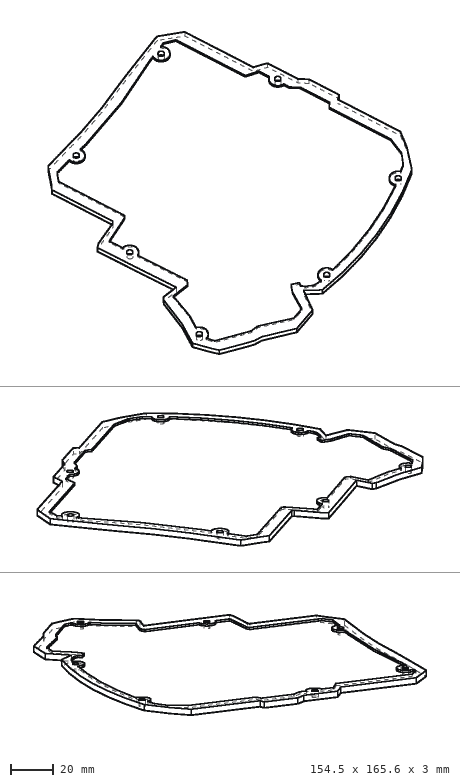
import cadquery as cq

WIDTH = 154.54
LENGTH = 165.6
THICKNESS = 3.0
POCKET_DEPTH = 1.0

HOLE_DIAMETER = 3.0
PAD_DIAMETER = 8.5

LEFT = -WIDTH / 2
RIGHT = WIDTH / 2
BACK = LENGTH / 2
FRONT = -LENGTH / 2

LEFT_BACK_Y = 74.3
SHOULDER_Y = 80.1
LEFT_FRONT_Y = -41.4

BACK_RIM = 6.4
FRONT_RIM = 6.0
RIGHT_RIM = 4.7
POCKET_LEFT_BACK_Y = LEFT_BACK_Y - BACK_RIM
POCKET_SHOULDER_Y = SHOULDER_Y - BACK_RIM
POCKET_BACK_Y = BACK - BACK_RIM
POCKET_LEFT_FRONT_Y = LEFT_FRONT_Y + FRONT_RIM

POCKET_RIGHT = RIGHT - RIGHT_RIM
POCKET_LEFT_MIDDLE = -68.9

SCREW_POSITIONS = [
    (-69.8, 57.0),
    (-15.0, 74.8),
    (66.4, 55.7),
    (70.9, -12.5),
    (40.5, -76.3),
    (-14.8, -52.8),
    (-68.9, -17.4),
]

PLATE_BACK = [
    (LEFT, 64.8),
    (-67.9, LEFT_BACK_Y),
    (-28.7, LEFT_BACK_Y),
    (-24.5, SHOULDER_Y),
    (-7.0, SHOULDER_Y),
    (-2.6, BACK),
    (14.7, BACK),
    (15.8, SHOULDER_Y),
    (51.5, SHOULDER_Y),
    (59.6, 73.6),
    (68.9, 63.8),
]
PLATE_RIGHT_MIDDLE = (RIGHT, 10.6)
PLATE_RIGHT_END = (74.3, -21.4)

PLATE_THUMB = [
    (67.1, -26.6),
    (RIGHT, -34.2),
    (RIGHT, -47.8),
    (66.2, -61.3),
    (64.7, -65.1),
    (62.5, -68.2),
    (54.0, -79.3),
    (50.2, -80.5),
    (41.0, FRONT),
    (30.1, -75.6),
    (15.0, -68.4),
    (13.7, -66.9),
    (15.5, -58.5),
]

PLATE_FRONT = [
    (-6.7, -58.8),
    (-29.2, -59.0),
    (-30.2, -56.5),
    (-31.4, -42.4),
    (-32.1, LEFT_FRONT_Y),
    (-66.8, LEFT_FRONT_Y),
    (-68.9, -38.6),
]

PLATE_LEFT = [
    (-76.4, -30.3),
    (-75.9, -21.4),
    (-75.4, -12.0),
    (-74.9, -4.4),
    (-74.9, 13.8),
    (-75.4, 21.4),
    (-76.0, 30.8),
    (-76.4, 39.0),
    (-76.7, 46.6),
    (LEFT, 62.5),
]

POCKET_BACK = [
    (-72.5, 63.1),
    (-68.6, POCKET_LEFT_BACK_Y),
    (-29.0, POCKET_LEFT_BACK_Y),
    (-25.1, POCKET_SHOULDER_Y),
    (-7.6, POCKET_SHOULDER_Y),
    (-3.3, POCKET_BACK_Y),
    (13.5, POCKET_BACK_Y),
    (15.0, POCKET_SHOULDER_Y),
    (50.2, POCKET_SHOULDER_Y),
    (59.3, 69.4),
    (63.8, 64.0),
    (65.1, 59.6),
    (67.8, 51.3),
]
POCKET_RIGHT_MIDDLE = (72.7, 11.7)
POCKET_RIGHT_END = (70.1, -19.4)
POCKET_THUMB = [
    (69.2, -21.4),
    (66.3, -24.1),
    (64.5, -24.9),
    (62.6, -23.8),
    (60.1, -26.9),
    (63.4, -30.5),
    (POCKET_RIGHT, -36.4),
    (POCKET_RIGHT, -43.3),
    (61.0, -56.9),
    (60.1, -61.0),
    (49.0, -75.7),
    (44.9, -76.6),
    (37.0, -73.8),
    (30.5, -69.5),
    (17.3, -63.8),
    (19.2, -54.3),
    (17.6, -52.0),
]
POCKET_FRONT = [
    (-26.7, -52.5),
    (-28.5, -36.7),
    (-29.3, POCKET_LEFT_FRONT_Y),
    (-66.9, POCKET_LEFT_FRONT_Y),
]
POCKET_LEFT = [
    (-70.7, -31.1),
    (-70.1, -21.7),
    (POCKET_LEFT_MIDDLE, -8.8),
    (POCKET_LEFT_MIDDLE, 21.7),
    (-71.9, 49.9),
]


def outline(base_z, back, right_middle, right_end, rest):
    """Closed outline: straight runs everywhere except the bowed right side."""
    sketch = cq.Workplane("XY", origin=(0, 0, base_z)).polyline(back)
    sketch = sketch.threePointArc(right_middle, right_end)
    for point in rest:
        sketch = sketch.lineTo(*point)
    return sketch.close()


def cylinders(diameter, base_z, height):
    """One cylinder at every screw position."""
    plane = cq.Workplane("XY", origin=(0, 0, base_z))
    return plane.pushPoints(SCREW_POSITIONS).circle(diameter / 2).extrude(height)


def make_plate():
    """Solid plate over the full outer outline."""
    rest = PLATE_THUMB + PLATE_FRONT + PLATE_LEFT
    profile = outline(0, PLATE_BACK, PLATE_RIGHT_MIDDLE, PLATE_RIGHT_END, rest)
    return profile.extrude(THICKNESS)


def make_pocket():
    """Shallow recess in the top face, leaving a rim and the screw pads."""
    floor_z = THICKNESS - POCKET_DEPTH
    rest = POCKET_THUMB + POCKET_FRONT + POCKET_LEFT
    profile = outline(floor_z, POCKET_BACK, POCKET_RIGHT_MIDDLE, POCKET_RIGHT_END, rest)
    return profile.extrude(POCKET_DEPTH).cut(cylinders(PAD_DIAMETER, floor_z, POCKET_DEPTH))


plate = make_plate().cut(make_pocket())
result = plate.cut(cylinders(HOLE_DIAMETER, 0, THICKNESS))